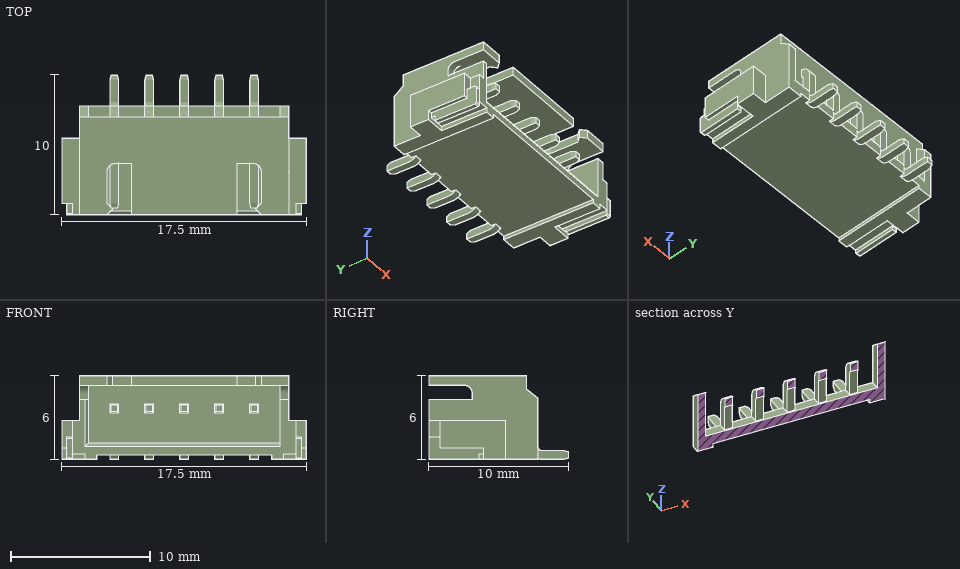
import cadquery as cq
import math


housing_width = 15.0
housing_height = 6.0
housing_depth = 7.8
wall_thickness = 0.66
roof_thickness = 0.7
roof_depth = 7.0
floor_top = 1.18
rear_wall_thickness = 2.0
slope_top = 5.03
slope_bottom = 4.4
half_width = housing_width / 2
cavity_half_width = half_width - wall_thickness
cavity_top = housing_height - roof_thickness
cavity_depth = roof_depth - rear_wall_thickness

mouth_chamfer = 0.27

foot_height = 0.3
foot_inner_x = 6.25

roof_slot_outer_x = 5.53
roof_slot_inner_x = 3.78
roof_slot_depth = 3.68
roof_slot_radius = 0.63
barb_width = 0.42
wall_slot_depth = 3.1
wall_slot_bottom = 4.3
wall_slot_radius = 0.57

overall_width = 17.5
ear_height = 2.8
ear_depth = 5.5
ear_outer_x = overall_width / 2
pocket_inner_x = 8.0
pocket_front_depth = 0.8
pocket_depth = 3.93
pocket_height = 0.8
groove_inner_x = 7.1
groove_height = 0.38

tab_thickness = 0.4
tab_height = 1.59
tab_relief_depth = 0.32
tab_edge_chamfer = 0.1

pin_count = 5
pin_pitch = 2.5
pin_size = 0.64
pin_axis_z = 3.65
pin_front_y = 0.49
tail_end_y = 10.0
pin_taper_length = 0.36
pin_tip_size = 0.46
upper_bend_radius = 1.0
lower_bend_radius = 0.3


def box(x_min, x_max, y_min, y_max, z_min, z_max):
    """Axis-aligned box between the given limits."""
    return (
        cq.Workplane("XY")
        .box(x_max - x_min, y_max - y_min, z_max - z_min, centered=False)
        .translate((x_min, y_min, z_min))
    )


def both_sides(shape):
    """The shape together with its mirror image on the other side of X = 0."""
    return [shape, shape.mirror("YZ")]


def extrude_along_x(profile, x_min, x_max):
    """Extrude a closed YZ profile between two X positions."""
    return profile.extrude(x_max - x_min).translate((x_min, 0, 0))


def housing_block():
    profile = (
        cq.Workplane("YZ")
        .polyline([
            (0, 0),
            (0, housing_height),
            (roof_depth, housing_height),
            (roof_depth, slope_top),
            (housing_depth, slope_bottom),
            (housing_depth, 0),
        ])
        .close()
    )
    return extrude_along_x(profile, -half_width, half_width)


def ear():
    """Block on the +X side, less the L-shaped pocket for the solder tab."""
    block = box(half_width, ear_outer_x, 0, ear_depth, 0, ear_height)
    front_pocket = box(pocket_inner_x, ear_outer_x, 0, pocket_front_depth, 0, ear_height)
    lower_pocket = box(pocket_inner_x, ear_outer_x, 0, pocket_depth, 0, pocket_height)
    return block.cut(front_pocket).cut(lower_pocket)


def cavity():
    return box(-cavity_half_width, cavity_half_width, 0, cavity_depth, floor_top, cavity_top)


def floor_lead_in():
    """Wedge along the front edge of the floor."""
    profile = (
        cq.Workplane("YZ")
        .polyline([
            (0, floor_top),
            (mouth_chamfer, floor_top),
            (0, floor_top - mouth_chamfer),
        ])
        .close()
    )
    return extrude_along_x(profile, -cavity_half_width, cavity_half_width)


def wall_lead_in():
    """Wedge along the front edge of the -X wall only, mitred into the floor wedge."""
    lowest_z = floor_top - mouth_chamfer
    wall_wedge = (
        cq.Workplane("XY", origin=(0, 0, lowest_z))
        .polyline([
            (-cavity_half_width, 0),
            (-cavity_half_width - mouth_chamfer, 0),
            (-cavity_half_width, mouth_chamfer),
        ])
        .close()
        .extrude(cavity_top - lowest_z)
    )
    corner_limit = (
        cq.Workplane("YZ")
        .polyline([
            (0, lowest_z),
            (0, cavity_top),
            (mouth_chamfer, cavity_top),
            (mouth_chamfer, floor_top),
        ])
        .close()
    )
    limit = extrude_along_x(corner_limit, -half_width, 0)
    return wall_wedge.intersect(limit)


def rear_recess():
    """Space behind the rear wall, above the floor ledge, where the pins turn down."""
    return box(-cavity_half_width, cavity_half_width, roof_depth, housing_depth, floor_top, housing_height)


def underside_clearance():
    return box(-foot_inner_x, foot_inner_x, 0, housing_depth, 0, foot_height)


def roof_slot():
    """Slot in the roof on the +X side, narrowed by a barb at its mouth."""
    diagonal = roof_slot_radius * (1 - math.sqrt(0.5))
    return (
        cq.Workplane("XY", origin=(0, 0, cavity_top))
        .moveTo(roof_slot_inner_x, 0)
        .lineTo(roof_slot_outer_x, 0)
        .lineTo(roof_slot_outer_x - barb_width, barb_width)
        .lineTo(roof_slot_outer_x, 2 * barb_width)
        .lineTo(roof_slot_outer_x, roof_slot_depth - roof_slot_radius)
        .threePointArc(
            (roof_slot_outer_x - diagonal, roof_slot_depth - diagonal),
            (roof_slot_outer_x - roof_slot_radius, roof_slot_depth),
        )
        .lineTo(roof_slot_inner_x, roof_slot_depth)
        .close()
        .extrude(roof_thickness)
    )


def wall_slot():
    """Slot just below the roof through the +X wall."""
    slot = box(cavity_half_width, half_width, 0, wall_slot_depth, wall_slot_bottom, cavity_top)
    return slot.edges(">Y and >Z").fillet(wall_slot_radius)


def tab_groove():
    """Groove under the +X side, inboard of the solder tab."""
    return box(groove_inner_x, pocket_inner_x, 0, pocket_depth, 0, groove_height)


def pin_wire():
    """Bent square wire at X = 0, from the front taper to the tail taper."""
    half = pin_size / 2
    top = pin_axis_z + half
    bottom = pin_axis_z - half
    front_y = pin_front_y + pin_taper_length
    tail_y = tail_end_y - pin_taper_length
    leg_rear = housing_depth
    leg_front = leg_rear - pin_size
    upper_inner_radius = upper_bend_radius - pin_size
    lower_outer_radius = lower_bend_radius + pin_size
    upper_centre_y = leg_rear - upper_bend_radius
    upper_centre_z = top - upper_bend_radius
    lower_centre_y = leg_rear + lower_bend_radius
    lower_centre_z = pin_size + lower_bend_radius
    diagonal = math.sqrt(0.5)
    profile = (
        cq.Workplane("YZ")
        .moveTo(front_y, bottom)
        .lineTo(front_y, top)
        .lineTo(upper_centre_y, top)
        .threePointArc(
            (upper_centre_y + upper_bend_radius * diagonal, upper_centre_z + upper_bend_radius * diagonal),
            (leg_rear, upper_centre_z),
        )
        .lineTo(leg_rear, lower_centre_z)
        .threePointArc(
            (lower_centre_y - lower_bend_radius * diagonal, lower_centre_z - lower_bend_radius * diagonal),
            (lower_centre_y, pin_size),
        )
        .lineTo(tail_y, pin_size)
        .lineTo(tail_y, 0)
        .lineTo(lower_centre_y, 0)
        .threePointArc(
            (lower_centre_y - lower_outer_radius * diagonal, lower_centre_z - lower_outer_radius * diagonal),
            (leg_front, lower_centre_z),
        )
        .lineTo(leg_front, upper_centre_z)
        .threePointArc(
            (upper_centre_y + upper_inner_radius * diagonal, upper_centre_z + upper_inner_radius * diagonal),
            (upper_centre_y, bottom),
        )
        .close()
    )
    return extrude_along_x(profile, -half, half)


def pin_taper(base_y, axis_z, direction):
    """Tapered pin end growing from base_y; direction is +1 toward +Y or -1 toward -Y."""
    plane = cq.Plane(origin=(0, base_y, axis_z), xDir=(1, 0, 0), normal=(0, direction, 0))
    return (
        cq.Workplane(plane)
        .rect(pin_size, pin_size)
        .workplane(offset=pin_taper_length)
        .rect(pin_tip_size, pin_tip_size)
        .loft(ruled=True)
    )


def pin():
    front_taper = pin_taper(pin_front_y + pin_taper_length, pin_axis_z, -1)
    tail_taper = pin_taper(tail_end_y - pin_taper_length, pin_size / 2, 1)
    return pin_wire().union(front_taper).union(tail_taper)


def housing_with_pins():
    body = housing_block()
    for side_ear in both_sides(ear()):
        body = body.union(side_ear)
    for opening in [cavity(), floor_lead_in(), wall_lead_in(), rear_recess(), underside_clearance()]:
        body = body.cut(opening)
    for side_opening in [roof_slot(), wall_slot(), tab_groove()]:
        for opening in both_sides(side_opening):
            body = body.cut(opening)
    single_pin = pin()
    for index in range(pin_count):
        pin_x = (index - (pin_count - 1) / 2) * pin_pitch
        body = body.union(single_pin.translate((pin_x, 0, 0)))
    return body


def solder_tab():
    """L-shaped plate in the +X ear pocket, relieved at its lower rear corner."""
    profile = (
        cq.Workplane("YZ")
        .polyline([
            (0, tab_edge_chamfer),
            (0, tab_height - tab_edge_chamfer),
            (tab_edge_chamfer, tab_height),
            (pocket_front_depth, tab_height),
            (pocket_front_depth, pocket_height),
            (pocket_depth, pocket_height),
            (pocket_depth, groove_height),
            (pocket_depth - tab_relief_depth, groove_height),
            (pocket_depth - tab_relief_depth, 0),
            (tab_edge_chamfer, 0),
        ])
        .close()
    )
    return extrude_along_x(profile, pocket_inner_x, pocket_inner_x + tab_thickness)


housing = housing_with_pins()
tabs = both_sides(solder_tab())

result = cq.Compound.makeCompound([housing.val(), *[tab.val() for tab in tabs]])